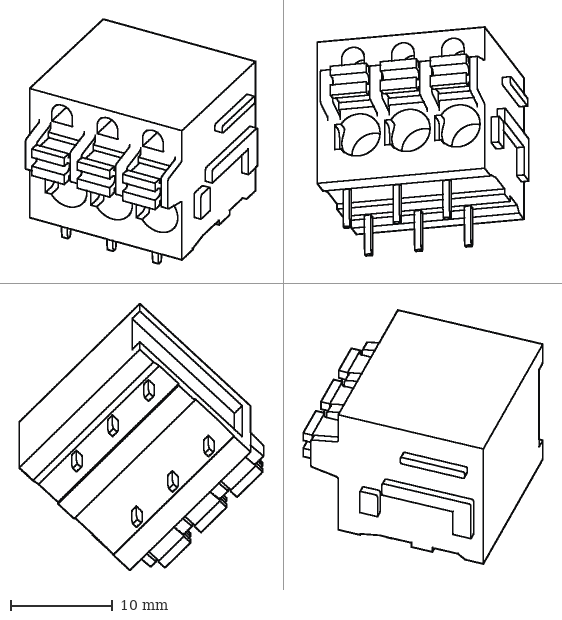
import cadquery as cq
import math


POLE_COUNT = 3
POLE_PITCH = 5.09

HOUSING_WIDTH = 17.07
HOUSING_DEPTH = 15.2
HOUSING_HEIGHT = 14.8
RELIEF_HEIGHT = 0.54
RELIEF_FRONT_STEP = 0.13
FRONT_RELIEF_START = 2.28
FRONT_RELIEF_FLAT = 4.34
FOOT_FRONT = 7.66
FOOT_BACK = 9.87
BACK_RELIEF_FLAT = 12.54
BACK_RELIEF_END = 13.32

RECESS_DEPTH = 1.1
RECESS_FRONT = 1.17
RECESS_BOTTOM = 2.44
RECESS_TOP = 12.36

TEST_X = 3.65
TEST_WIDTH = 2.28
TEST_BOTTOM = 11.79
TEST_ARC_Z = 12.77
TEST_DEPTH = 3.84
WIRE_X = 4.22
WIRE_Z = 4.68
WIRE_DIAMETER = 4.4
WIRE_DEPTH = 5.76
SLOT_LEFT = 1.79
SLOT_HEIGHT = 2.6
SLOT_DEPTH = 1.92
SLOT_CORNER = 0.71

LEVER_AXIS_Z = 9.02
RIB_WIDTH = 1.25
FIRST_RIB_LEFT = 1.11
INNER_RIB_LEFT = 6.12
RIB_REACH = 2.9
RIB_HEIGHT = 5.07
RIB_DRAFT = 11.0
ROUNDING = 0.3
COLLAR_REACH = 0.48
COLLAR_HEIGHT = 4.0

LEVER_LEFT = 2.42
LEVER_WIDTH = 3.63
LEVER_REACH = 4.0
STEM_BOTTOM = 8.06
STEM_TOP = 10.1
HEAD_BOTTOM = 7.6
HEAD_TOP = 10.64
HEAD_THICKNESS = 0.95
HEAD_ROOT_RADIUS = 0.15
NOTCH_Z = 9.18
NOTCH_WIDTH = 1.0
NOTCH_DEPTH = 1.1

PEG_LENGTH = 0.77
PEG_BOTTOM = 3.57
PEG_ROUNDING = 0.23
FRONT_PEG_FRONT = 2.52
PEG_WIDTH = 1.88
FRONT_PEG_TOP = 6.32
HOOK_FRONT = 4.85
HOOK_BACK = 14.19
HOOK_TOP = 7.99
HOOK_UNDERSIDE = 6.49
RAIL_LENGTH = 0.83
RAIL_FRONT = 6.82
RAIL_BACK = 13.54
RAIL_BOTTOM = 11.15
RAIL_TOP = 11.98
RAIL_ROUNDING = 0.2

PIN_LEFT = SLOT_LEFT
PIN_THICKNESS = 0.65
PIN_WIDTH = 0.79
PIN_CENTERS_Y = (3.67, 11.9)
PIN_BOTTOM = -3.5
PIN_TOP = 1.38
PIN_TIP_LENGTH = 0.83
PIN_TIP_WIDTH = 0.52

POLE_OFFSETS = [pole * POLE_PITCH for pole in range(POLE_COUNT)]


def box(x_range, y_range, z_range):
    """Box between the given (low, high) limits."""
    size = [high - low for low, high in (x_range, y_range, z_range)]
    corner = (x_range[0], y_range[0], z_range[0])
    return cq.Workplane("XY").box(*size, centered=False).translate(corner)


def side_plane(x):
    """Workplane at the given X in which points are (Y, Z)."""
    return cq.Workplane("YZ", origin=(x, 0, 0))


def make_block():
    """Main block with the stepped relief along its bottom."""
    outline = [
        (0, 0),
        (FRONT_RELIEF_START, 0),
        (FRONT_RELIEF_START, RELIEF_FRONT_STEP),
        (FRONT_RELIEF_FLAT, RELIEF_HEIGHT),
        (FOOT_FRONT, RELIEF_HEIGHT),
        (FOOT_FRONT, 0),
        (FOOT_BACK, 0),
        (FOOT_BACK, RELIEF_HEIGHT),
        (BACK_RELIEF_FLAT, RELIEF_HEIGHT),
        (BACK_RELIEF_END, 0),
        (HOUSING_DEPTH, 0),
        (HOUSING_DEPTH, HOUSING_HEIGHT),
        (0, HOUSING_HEIGHT),
    ]
    return side_plane(0).polyline(outline).close().extrude(HOUSING_WIDTH)


def make_side_recess():
    """Pocket in the left side that takes the pegs of a neighbouring block."""
    return box((0, RECESS_DEPTH), (RECESS_FRONT, HOUSING_DEPTH), (RECESS_BOTTOM, RECESS_TOP))


def make_rib(left, width):
    """Tapered rib with rounded roots and a rounded nose."""
    draft = math.radians(RIB_DRAFT)
    round_run = ROUNDING * (1 - math.sin(draft))
    round_rise = ROUNDING * math.cos(draft)
    root_z = RIB_HEIGHT / 2
    slope_start = (-round_run, root_z - round_rise)
    slope_end_y = -RIB_REACH + round_run
    slope_end = (slope_end_y, slope_start[1] - (slope_start[0] - slope_end_y) * math.tan(draft))
    nose = (-RIB_REACH, slope_end[1] - round_rise)
    profile = (
        cq.Workplane("YZ", origin=(left, 0, LEVER_AXIS_Z))
        .moveTo(0, root_z)
        .radiusArc(slope_start, ROUNDING)
        .lineTo(*slope_end)
        .radiusArc(nose, -ROUNDING)
        .lineTo(nose[0], -nose[1])
        .radiusArc((slope_end[0], -slope_end[1]), -ROUNDING)
        .lineTo(slope_start[0], -slope_start[1])
        .radiusArc((0, -root_z), ROUNDING)
        .close()
    )
    return profile.extrude(width)


def make_collar(left, width):
    """Low pad with rounded roots that runs behind the levers."""
    root_z = COLLAR_HEIGHT / 2
    face_z = root_z - ROUNDING
    profile = (
        cq.Workplane("YZ", origin=(left, 0, LEVER_AXIS_Z))
        .moveTo(0, root_z)
        .radiusArc((-ROUNDING, face_z), ROUNDING)
        .lineTo(-COLLAR_REACH, face_z)
        .lineTo(-COLLAR_REACH, -face_z)
        .lineTo(-ROUNDING, -face_z)
        .radiusArc((0, -root_z), ROUNDING)
        .close()
    )
    return profile.extrude(width)


def add_lever_guides(housing):
    """Collar opened where each stem passes, with a rib on both sides of every lever."""
    collar_left = FIRST_RIB_LEFT + RIB_WIDTH
    collar_width = HOUSING_WIDTH - collar_left
    stem_opening = box((collar_left, HOUSING_WIDTH), (-COLLAR_REACH, 0), (STEM_BOTTOM, STEM_TOP))
    housing = housing.union(make_collar(collar_left, collar_width).cut(stem_opening))
    housing = housing.union(make_rib(FIRST_RIB_LEFT, RIB_WIDTH))
    for offset in POLE_OFFSETS:
        left = INNER_RIB_LEFT + offset
        right = min(left + RIB_WIDTH, HOUSING_WIDTH)
        housing = housing.union(make_rib(left, right - left))
    return housing


def make_test_opening(offset):
    """Round-topped blind opening above a lever."""
    half_width = TEST_WIDTH / 2
    center_x = TEST_X + offset
    profile = (
        cq.Workplane("XZ")
        .moveTo(center_x - half_width, TEST_BOTTOM)
        .lineTo(center_x - half_width, TEST_ARC_Z)
        .threePointArc((center_x, TEST_ARC_Z + half_width), (center_x + half_width, TEST_ARC_Z))
        .lineTo(center_x + half_width, TEST_BOTTOM)
        .close()
    )
    return profile.extrude(-TEST_DEPTH)


def make_wire_opening(offset):
    """Round blind wire hole with a shallower side slot whose inner corners are rounded."""
    hole = (
        cq.Workplane("XZ", origin=(WIRE_X + offset, 0, WIRE_Z))
        .circle(WIRE_DIAMETER / 2)
        .extrude(-WIRE_DEPTH)
    )
    slot = box(
        (SLOT_LEFT + offset, WIRE_X + offset),
        (0, SLOT_DEPTH),
        (WIRE_Z - SLOT_HEIGHT / 2, WIRE_Z + SLOT_HEIGHT / 2),
    )
    return hole.union(slot.edges("|X and >Y").fillet(SLOT_CORNER))


def make_pegs():
    """Coupling shapes on the right side: front peg, hook and rail."""
    front_peg = box(
        (HOUSING_WIDTH, HOUSING_WIDTH + PEG_LENGTH),
        (FRONT_PEG_FRONT, FRONT_PEG_FRONT + PEG_WIDTH),
        (PEG_BOTTOM, FRONT_PEG_TOP),
    ).edges("|X and >Z").fillet(PEG_ROUNDING)
    hook_outline = [
        (HOOK_FRONT, HOOK_UNDERSIDE),
        (HOOK_FRONT, HOOK_TOP),
        (HOOK_BACK, HOOK_TOP),
        (HOOK_BACK, PEG_BOTTOM),
        (HOOK_BACK - PEG_WIDTH, PEG_BOTTOM),
        (HOOK_BACK - PEG_WIDTH, HOOK_UNDERSIDE),
    ]
    hook = (
        side_plane(HOUSING_WIDTH)
        .polyline(hook_outline)
        .close()
        .extrude(PEG_LENGTH)
        .edges("|X and >Z")
        .fillet(PEG_ROUNDING)
    )
    rail = box(
        (HOUSING_WIDTH, HOUSING_WIDTH + RAIL_LENGTH),
        (RAIL_FRONT, RAIL_BACK),
        (RAIL_BOTTOM, RAIL_TOP),
    ).edges("|X").fillet(RAIL_ROUNDING)
    return [front_peg, hook, rail]


def make_housing(pins):
    """Complete housing with a matching hole around every pin."""
    housing = add_lever_guides(make_block().cut(make_side_recess()))
    for peg in make_pegs():
        housing = housing.union(peg)
    for offset in POLE_OFFSETS:
        housing = housing.cut(make_test_opening(offset))
        housing = housing.cut(make_wire_opening(offset))
    for pin in pins:
        housing = housing.cut(pin)
    return housing


def make_lever(offset):
    """Flat stem with a taller head that is notched across its front."""
    left = LEVER_LEFT + offset
    lever_x = (left, left + LEVER_WIDTH)
    head_back = -LEVER_REACH + HEAD_THICKNESS
    stem = box(lever_x, (head_back, 0), (STEM_BOTTOM, STEM_TOP))
    head = box(lever_x, (-LEVER_REACH, head_back), (HEAD_BOTTOM, HEAD_TOP))
    stem_head_corners = cq.selectors.BoxSelector(
        (left, head_back - HEAD_ROOT_RADIUS, STEM_BOTTOM - HEAD_ROOT_RADIUS),
        (left + LEVER_WIDTH, head_back + HEAD_ROOT_RADIUS, STEM_TOP + HEAD_ROOT_RADIUS),
    )
    lever = stem.union(head).edges("|X").edges(stem_head_corners).fillet(HEAD_ROOT_RADIUS)
    notch_radius = NOTCH_WIDTH / 2
    notch_end_y = -LEVER_REACH + NOTCH_DEPTH - notch_radius
    notch = box(
        lever_x,
        (-LEVER_REACH, notch_end_y),
        (NOTCH_Z - notch_radius, NOTCH_Z + notch_radius),
    )
    notch_end = side_plane(left).center(notch_end_y, NOTCH_Z).circle(notch_radius).extrude(LEVER_WIDTH)
    return lever.cut(notch).cut(notch_end)


def make_pin(offset, center_y):
    """Flat pin with a tapered tip."""
    half_width = PIN_WIDTH / 2
    half_tip = PIN_TIP_WIDTH / 2
    taper_z = PIN_BOTTOM + PIN_TIP_LENGTH
    outline = [
        (-half_width, PIN_TOP),
        (-half_width, taper_z),
        (-half_tip, PIN_BOTTOM),
        (half_tip, PIN_BOTTOM),
        (half_width, taper_z),
        (half_width, PIN_TOP),
    ]
    pin = side_plane(PIN_LEFT + offset).polyline(outline).close().extrude(PIN_THICKNESS)
    return pin.translate((0, center_y, 0))


pins = [make_pin(offset, center_y) for offset in POLE_OFFSETS for center_y in PIN_CENTERS_Y]
levers = [make_lever(offset) for offset in POLE_OFFSETS]
housing = make_housing(pins)

result = cq.Compound.makeCompound(
    [housing.val(), *[lever.val() for lever in levers], *[pin.val() for pin in pins]]
)